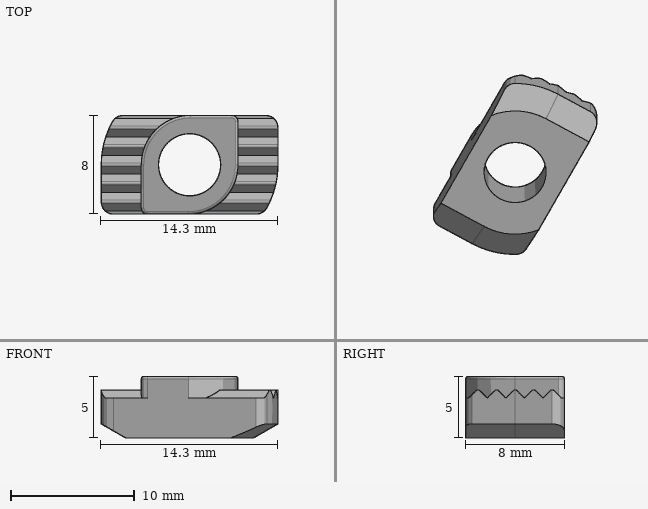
import cadquery as cq
import math

length = 14.3
width = 8.0
end_radius = length / 2
half_width = width / 2
corner_radius = 1

bevel_run = 2
bevel_height = bevel_run * math.tan(math.radians(30))

crest_height = 3.92
tooth_pitch = 1.5
crest_radius = 0.2
tooth_depth = tooth_pitch / 2 - crest_radius * (math.sqrt(2) - 1)
outer_tooth = 2
valley_height = crest_height - tooth_depth

height = 5
boss_length = 7.82
boss_corner_radius = 0.5
boss_edge_radius = 0.2
hole_diameter = 5


def plate_outline():
    """Rectangle with two opposite quarters bounded by the end circle."""
    half_length = length / 2
    blend_y = half_width - corner_radius
    blend_x = math.sqrt((end_radius - corner_radius) ** 2 - blend_y ** 2)
    stretch = end_radius / (end_radius - corner_radius)
    tangent_x = blend_x * stretch
    tangent_y = blend_y * stretch
    end_angle = math.atan2(tangent_y, tangent_x) / 2
    end_mid_x = end_radius * math.cos(end_angle)
    end_mid_y = end_radius * math.sin(end_angle)
    blend_angle = (math.atan2(tangent_y, tangent_x) + math.pi / 2) / 2
    blend_mid_x = blend_x + corner_radius * math.cos(blend_angle)
    blend_mid_y = blend_y + corner_radius * math.sin(blend_angle)
    diagonal = corner_radius * math.sqrt(0.5)
    corner_x = half_length - corner_radius

    outline = cq.Workplane("XY").moveTo(-half_length, 0)
    for side in (1, -1):
        outline = (
            outline
            .threePointArc((-side * end_mid_x, side * end_mid_y), (-side * tangent_x, side * tangent_y))
            .threePointArc((-side * blend_mid_x, side * blend_mid_y), (-side * blend_x, side * half_width))
            .lineTo(side * corner_x, side * half_width)
            .threePointArc(
                (side * (corner_x + diagonal), side * (blend_y + diagonal)),
                (side * half_length, side * blend_y),
            )
            .lineTo(side * half_length, 0)
        )
    return outline.close()


def bevel_profile():
    """Right half of the XZ section left by the end bevels."""
    return (
        cq.Workplane("XZ")
        .lineTo(end_radius - bevel_run, 0)
        .lineTo(end_radius, bevel_height)
        .lineTo(end_radius, crest_height)
        .lineTo(0, crest_height)
        .close()
    )


def bevel_envelope():
    """Conical at the rounded quarters, flat at the square ones."""
    cone = bevel_profile().revolve(360, (0, 0), (0, 1))
    square_quarter = bevel_profile().extrude(-half_width)
    opposite_quarter = square_quarter.rotate((0, 0, 0), (0, 0, 1), 180)
    return cone.union(square_quarter).union(opposite_quarter)


def serrated_section():
    """Extrusion along the plate with a row of round-crested teeth."""
    crest_half_width = crest_radius * math.sqrt(0.5)
    shoulder_height = valley_height + tooth_pitch / 2 - crest_half_width
    section = cq.Workplane("YZ").moveTo(-half_width, 0).lineTo(-half_width, valley_height)
    section = section.lineTo(-(outer_tooth + 0.5) * tooth_pitch, valley_height)
    for index in range(-outer_tooth, outer_tooth + 1):
        crest_y = index * tooth_pitch
        section = (
            section
            .lineTo(crest_y - crest_half_width, shoulder_height)
            .threePointArc((crest_y, crest_height), (crest_y + crest_half_width, shoulder_height))
            .lineTo(crest_y + tooth_pitch / 2, valley_height)
        )
    section = section.lineTo(half_width, valley_height).lineTo(half_width, 0).close()
    return section.extrude(length / 2, both=True)


def boss():
    """Two quarter circles joined by slightly rounded square corners."""
    half_length = boss_length / 2
    arc_center_x = half_width - half_length
    diagonal = half_width * math.sqrt(0.5)
    outline = cq.Workplane("XY").moveTo(-half_length, 0)
    for side in (1, -1):
        outline = (
            outline
            .threePointArc(
                (side * (arc_center_x - diagonal), side * diagonal),
                (side * arc_center_x, side * half_width),
            )
            .lineTo(side * half_length, side * half_width)
            .lineTo(side * half_length, 0)
        )
    body = outline.close().extrude(height - valley_height)
    for corner in (cq.Vector(1, 1, 0), cq.Vector(-1, -1, 0)):
        square_edge = cq.selectors.DirectionMinMaxSelector(corner)
        body = body.edges("|Z").edges(square_edge).fillet(boss_corner_radius)
    body = body.faces(">Z").edges().fillet(boss_edge_radius)
    return body.translate((0, 0, valley_height))


plate = plate_outline().extrude(crest_height).intersect(bevel_envelope()).intersect(serrated_section())
hole = cq.Workplane("XY").circle(hole_diameter / 2).extrude(height)

result = plate.union(boss()).cut(hole)